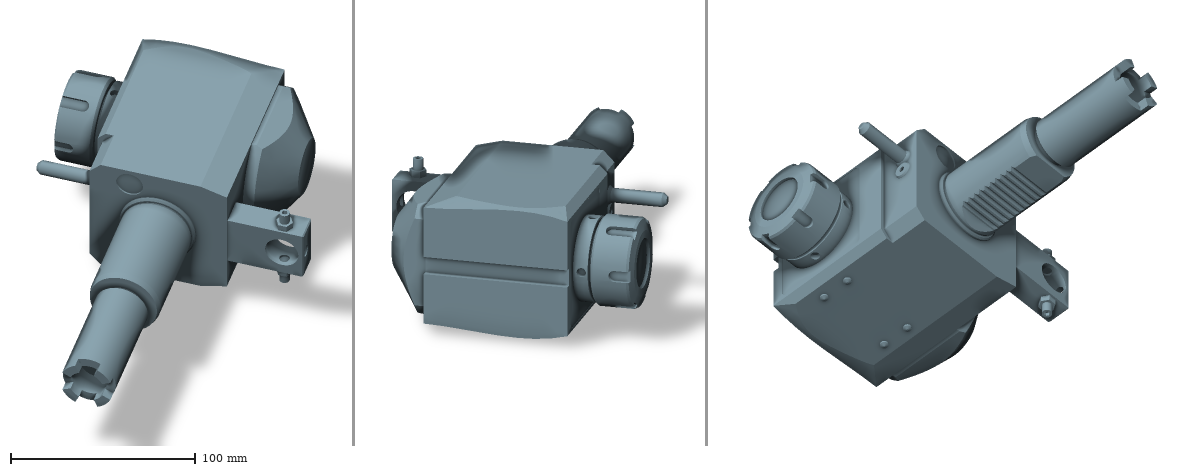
import cadquery as cq
import math


half_width = 39.0
half_height = 37.5
housing_length = 105.0
tool_side = -41.9
step_length = 24.0
lower_chamfer = 6.4
upper_chamfer = 4.5
bevel_run = 15.0
bevel_rise = 4.0
bevel_slope = bevel_rise / bevel_run
mitre_length = 12.5
crown_peak_x = -18.8
crown_shoulder_x = 3.8
crown_rear_peak = 36.5
crown_rear_shoulder = 35.8
crown_front_peak = 39.5
crown_front_shoulder = 39.3
key_slot_width = 9.9
key_slot_depth = 3.8
panel_length = 58.3
panel_height = 63.0
panel_radius = 4.2
panel_depth = 0.2
plug_x = -16.2
plug_z = 27.5
plug_radius = 7.5
plug_depth = 1.0

spindle_y = 69.2
nut_radius = 25.2
nut_tip = -74.5
nut_back = -51.5
nut_chamfer = 1.5
nut_face_radius = 18.0
nut_cone_length = 2.8
neck_radius = 20.2
collar_start = -49.9
collar_radius = 23.8
nut_bore_radius = 13.9
nut_bore_depth = 1.9
nut_slot_width = 6.4
nut_slot_depth = 2.8
long_slot_end = -57.2
short_slot_end = -62.0
collar_hole_radius = 2.5
collar_hole_x = -46.3
collar_hole_depth = 3.5

cover_radius = 40.2
cover_rim = 45.5
cover_end = 62.8
cover_end_radius = 16.0
cover_flat = 31.5
cover_land_z = 32.2
cover_land_end = 41.9

flange_radius = 21.6
flange_length = 2.0
flange_bevel = 1.0
shank_radius = 20.0
undercut_radius = 19.5
undercut_end = -3.5
shank_end = -63.0
shank_chamfer_length = 3.5
shank_chamfer = 1.0
shank_neck_radius = 12.0
coupling_start = -66.8
coupling_radius = 15.0
coupling_shoulder = -125.0
coupling_end = -130.3
coupling_bore = 9.9
coupling_bore_depth = 18.8
claw_count = 4
claw_gap_angle = 50
flat_z = -15.8
flat_start = -8.5
tooth_pitch = 4.0
tooth_count = 10
first_groove_y = -10.8
groove_depth = 1.2
groove_width = 2.8

pin_y = 10.0
pin_z = 15.8
pin_radius = 4.0
pin_tip = -71.8
pin_chamfer = 2.4
pin_tip_radius = 2.0
pin_foot_radius = 5.5
pin_foot_length = 1.6
screw_z = 6.0
screw_radius = 5.2
screw_head = 1.2
screw_top_radius = 4.5
screw_socket = 3.8
screw_socket_depth = 2.4

bracket_end = 82.0
bracket_front = 1.2
bracket_back = 16.2
bracket_half_height = 15.0
bracket_chamfer = 0.7
clamp_x = 69.9
clamp_bore = 9.5
clamp_screw_y = 6.4
clamp_screw_radius = 2.8
clamp_screw_top = 25.2
clamp_screw_inner = 10.5
clamp_nut_height = 3.8
clamp_nut_corner = 9.5
clamp_socket = 3.3
clamp_socket_depth = 2.4
end_hole_radius = 3.3

rivet_center_x = -6.5
rivet_spacing_x = 47.0
rivet_spacing_y = 17.5
rivet_radius = 2.4
rivet_rim = 1.0
rivet_tip_radius = 0.5
rivet_bottom = -39.3


def box(x0, x1, y0, y1, z0, z1):
    return cq.Workplane().box(x1 - x0, y1 - y0, z1 - z0, False).translate((x0, y0, z0))


def cylinder(start, direction, radius, length):
    return cq.Workplane(cq.Solid.makeCylinder(radius, length, cq.Vector(*start), cq.Vector(*direction)))


def turned_on_x(profile, y, z):
    """Revolve (x, radius) points about the line parallel to X through (y, z)."""
    solid = cq.Workplane("XY").polyline(profile).close().revolve(360, (0, 0), (1, 0))
    return solid.translate((0, y, z))


def housing_section(side, chamfer, y0, y1):
    """Housing length between y0 and y1, with its -X face at the given x."""
    upper = [
        (side, half_height - chamfer),
        (side + chamfer, half_height),
        (half_width - bevel_run, half_height),
        (half_width, half_height - bevel_rise),
    ]
    lower = [(x, -z) for x, z in reversed(upper)]
    return cq.Workplane("XZ", (0, y1, 0)).polyline(upper + lower).close().extrude(y1 - y0)


def crown_section(y, left, right, peak_z, shoulder_z):
    """Closed wire in a plane of constant y: a curved lower edge closed above the housing."""
    clearance_z = half_height + mitre_length
    start = cq.Vector(left[0], y, left[1])
    end = cq.Vector(right[0], y, right[1])
    start_top = cq.Vector(left[0], y, clearance_z)
    end_top = cq.Vector(right[0], y, clearance_z)
    peak = cq.Vector(crown_peak_x, y, peak_z)
    shoulder = cq.Vector(crown_shoulder_x, y, shoulder_z)
    curve = cq.Edge.makeSpline([start, peak, shoulder, end])
    sides = [
        cq.Edge.makeLine(end, end_top),
        cq.Edge.makeLine(end_top, start_top),
        cq.Edge.makeLine(start_top, start),
    ]
    return cq.Wire.assembleEdges([curve] + sides)


def crown_cutter():
    """Material above the curved slope at the rear top edge."""
    rear = crown_section(
        housing_length,
        (tool_side, half_height - upper_chamfer),
        (half_width, half_height - bevel_rise),
        crown_rear_peak,
        crown_rear_shoulder,
    )
    front = crown_section(
        housing_length - mitre_length,
        (tool_side + upper_chamfer, half_height),
        (half_width - bevel_run, half_height),
        crown_front_peak,
        crown_front_shoulder,
    )
    return cq.Workplane(cq.Solid.makeLoft([rear, front], True))


def housing():
    body = housing_section(-half_width, lower_chamfer, 0, step_length)
    body = body.union(housing_section(tool_side, upper_chamfer, step_length, housing_length))
    crown = crown_cutter()
    body = body.cut(crown).cut(crown.mirror("XY"))
    slot = box(
        tool_side, half_width, housing_length - key_slot_depth, housing_length,
        -key_slot_width / 2, key_slot_width / 2,
    )
    panel = cq.Workplane("YZ", (tool_side, spindle_y, 0)).rect(panel_length, panel_height)
    panel = panel.extrude(panel_depth).edges("|X").fillet(panel_radius)
    plug = cylinder((plug_x, 0, plug_z), (0, 1, 0), plug_radius, plug_depth)
    return body.cut(slot).cut(panel).cut(plug)


def nut_slot(angle, slot_end):
    """Round-ended slot in the nut, opening at its front; the angle is measured from +Z."""
    straight_end = slot_end - nut_slot_width / 2
    floor = nut_radius - nut_slot_depth
    slot = box(nut_tip, straight_end, -nut_slot_width / 2, nut_slot_width / 2, floor, nut_radius)
    slot = slot.union(
        cylinder((straight_end, 0, floor), (0, 0, 1), nut_slot_width / 2, nut_slot_depth)
    )
    return slot.rotate((0, 0, 0), (1, 0, 0), angle).translate((0, spindle_y, 0))


def tool_spindle():
    profile = [
        (nut_tip, 0),
        (nut_tip, nut_face_radius),
        (nut_tip + nut_chamfer, nut_radius - nut_chamfer / 2),
        (nut_tip + nut_cone_length, nut_radius),
        (nut_back - nut_chamfer, nut_radius),
        (nut_back, nut_radius - nut_chamfer),
        (nut_back, neck_radius),
        (collar_start, neck_radius),
        (collar_start, collar_radius),
        (-half_width, collar_radius),
        (-half_width, 0),
    ]
    spindle = turned_on_x(profile, spindle_y, 0)
    spindle = spindle.cut(cylinder((nut_tip, spindle_y, 0), (1, 0, 0), nut_bore_radius, nut_bore_depth))
    for angle in range(30, 390, 60):
        on_upper_side = angle < 90 or angle > 270
        slot_end = long_slot_end if on_upper_side else short_slot_end
        spindle = spindle.cut(nut_slot(angle, slot_end))
    for angle in range(0, 360, 90):
        hole = cylinder(
            (collar_hole_x, 0, collar_radius - collar_hole_depth), (0, 0, 1),
            collar_hole_radius, collar_hole_depth,
        )
        hole = hole.rotate((0, 0, 0), (1, 0, 0), angle).translate((0, spindle_y, 0))
        spindle = spindle.cut(hole)
    return spindle


def rear_cover():
    profile = [
        (half_width, 0),
        (half_width, cover_radius),
        (cover_rim, cover_radius),
        (cover_end, cover_end_radius),
        (cover_end, 0),
    ]
    cover = turned_on_x(profile, spindle_y, 0)
    end_z = cover_land_z - (cover_end - cover_land_end) * bevel_slope
    upper = [(half_width, cover_land_z), (cover_land_end, cover_land_z), (cover_end, end_z)]
    lower = [(x, -z) for x, z in reversed(upper)]
    envelope = cq.Workplane("XZ", (0, spindle_y + cover_flat, 0)).polyline(upper + lower).close()
    return cover.intersect(envelope.extrude(cover_flat + cover_radius))


def shank():
    profile = [
        (0, 0),
        (flange_radius, 0),
        (flange_radius, flange_bevel - flange_length),
        (flange_radius - flange_bevel, -flange_length),
        (undercut_radius, -flange_length),
        (undercut_radius, undercut_end),
        (shank_radius, undercut_end),
        (shank_radius, shank_end + shank_chamfer_length),
        (shank_radius - shank_chamfer, shank_end),
        (shank_neck_radius, shank_end),
        (shank_neck_radius, coupling_start),
        (coupling_radius, coupling_start),
        (coupling_radius, coupling_end),
        (0, coupling_end),
    ]
    return cq.Workplane("XY").polyline(profile).close().revolve(360, (0, 0), (0, 1))


def serrated_flat():
    """Material below the toothed flat on the underside of the shank."""
    floor_z = -shank_radius
    run_out = flat_z - floor_z
    profile = [(flat_start + run_out, floor_z), (flat_start, flat_z)]
    for i in range(tooth_count):
        groove_y = first_groove_y - i * tooth_pitch
        profile.append((groove_y + groove_width / 2, flat_z))
        profile.append((groove_y, flat_z + groove_depth))
        profile.append((groove_y - groove_width / 2, flat_z))
    profile += [(shank_end, flat_z), (shank_end, floor_z)]
    cutter = cq.Workplane("YZ").polyline(profile).close().extrude(shank_radius, both=True)
    keep = box(-shank_radius, shank_radius, shank_end, -flange_length, floor_z, 0)
    return cutter.intersect(keep)


def coupling_recess():
    """Bore and wedge-shaped gaps that leave the claws at the shank tip."""
    recess = cylinder((0, coupling_end, 0), (0, 1, 0), coupling_bore, coupling_bore_depth)
    reach = 2 * coupling_radius
    half_gap = reach * math.tan(math.radians(claw_gap_angle / 2))
    wedge = cq.Workplane("XZ", (0, coupling_shoulder, 0))
    wedge = wedge.polyline([(0, 0), (reach, half_gap), (reach, -half_gap)]).close()
    wedge = wedge.extrude(coupling_shoulder - coupling_end)
    for i in range(claw_count):
        recess = recess.union(wedge.rotate((0, 0, 0), (0, 1, 0), i * 360 / claw_count))
    return recess


def coolant_pin():
    profile = [
        (pin_tip, 0),
        (pin_tip, pin_tip_radius),
        (pin_tip + pin_chamfer, pin_radius),
        (-half_width - pin_foot_length, pin_radius),
        (-half_width, pin_foot_radius),
        (-half_width, 0),
    ]
    return turned_on_x(profile, pin_y, pin_z)


def plug_screw():
    head_x = -half_width - screw_head
    profile = [(head_x, 0), (head_x, screw_top_radius), (-half_width, screw_radius), (-half_width, 0)]
    screw = turned_on_x(profile, pin_y, screw_z)
    socket = cq.Workplane("YZ", (head_x, pin_y, screw_z)).polygon(6, screw_socket)
    return screw, socket.extrude(screw_socket_depth)


def clamp_screw():
    """Upper clamp screw with its lock nut and socket."""
    screw = cylinder(
        (clamp_x, clamp_screw_y, clamp_screw_inner), (0, 0, 1),
        clamp_screw_radius, clamp_screw_top - clamp_screw_inner,
    )
    nut = cq.Workplane("XY", (clamp_x, clamp_screw_y, bracket_half_height)).polygon(6, clamp_nut_corner)
    socket = cq.Workplane("XY", (clamp_x, clamp_screw_y, clamp_screw_top)).polygon(6, clamp_socket)
    return screw.union(nut.extrude(clamp_nut_height)).cut(socket.extrude(-clamp_socket_depth))


def bracket():
    arm = box(
        half_width, bracket_end, bracket_front, bracket_back,
        -bracket_half_height, bracket_half_height,
    )
    arm = arm.faces(">X").edges().chamfer(bracket_chamfer)
    thickness = bracket_back - bracket_front
    arm = arm.cut(cylinder((clamp_x, bracket_front, 0), (0, 1, 0), clamp_bore, thickness))
    arm = arm.cut(cylinder(
        (clamp_x, clamp_screw_y, 0), (1, 0, 0), end_hole_radius, bracket_end - clamp_x,
    ))
    arm = arm.cut(cylinder(
        (clamp_x, clamp_screw_y, -clamp_screw_inner), (0, 0, 1),
        clamp_screw_radius, 2 * clamp_screw_inner,
    ))
    screw = clamp_screw()
    return arm.union(screw).union(screw.mirror("XY"))


def rivets():
    rivet_profile = [
        (0, -half_height),
        (rivet_radius, -half_height),
        (rivet_radius, -half_height - rivet_rim),
        (rivet_tip_radius, rivet_bottom),
        (0, rivet_bottom),
    ]
    rivet = cq.Workplane("XZ").polyline(rivet_profile).close().revolve(360, (0, 0), (0, 1))
    places = cq.Workplane("XY", (rivet_center_x, spindle_y, 0))
    places = places.rarray(rivet_spacing_x, rivet_spacing_y, 2, 2)
    return places.eachpoint(lambda place: rivet.val().moved(place))


result = housing().union(tool_spindle()).union(rear_cover()).union(bracket())
result = result.union(shank().cut(serrated_flat()).cut(coupling_recess()))
screw_body, screw_recess = plug_screw()
result = result.union(coolant_pin()).union(screw_body).cut(screw_recess)
result = result.union(rivets())